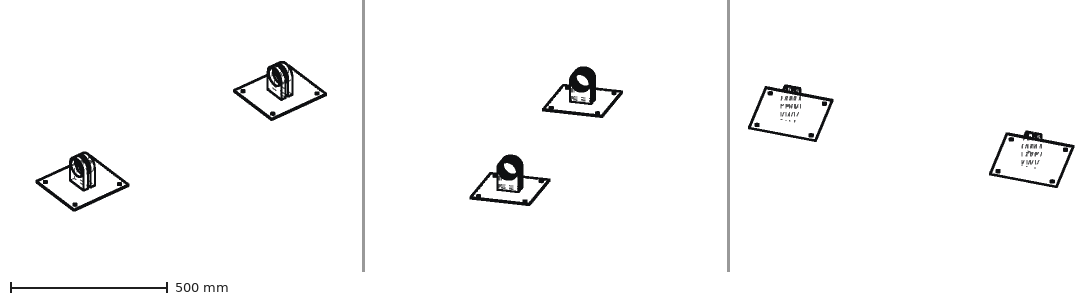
import cadquery as cq

overall_length = 1020.0
overall_height = 108.0

plate_width = 196.0
plate_length = 220.0
plate_thickness = 4.0

mount_hole_diameter = 10.0
mount_hole_inset = 20.0
mount_spacing_x = plate_width - 2 * mount_hole_inset
mount_spacing_y = plate_length - 2 * mount_hole_inset

lug_width = 70.0
lug_thickness = 17.0
lug_gap = 10.0
lug_pitch = lug_thickness + lug_gap
top_flat_width = 2.0
crown_radius = (lug_width - top_flat_width) / 2
bore_diameter = 60.0
bore_height = overall_height - lug_width / 2

bracket_offset = (overall_length - plate_length) / 2


def make_plate():
    """Flat base plate with its underside at Z = 0 and a hole near each corner."""
    plate = cq.Workplane("XY").box(plate_width, plate_length, plate_thickness, centered=(True, True, False))
    return (
        plate.faces(">Z")
        .workplane()
        .rect(mount_spacing_x, mount_spacing_y, forConstruction=True)
        .vertices()
        .hole(mount_hole_diameter)
    )


def make_lug(center_y):
    """Upright lug with rounded top corners and a bore along Y."""
    lug = (
        cq.Workplane("XY")
        .box(lug_width, lug_thickness, overall_height, centered=(True, True, False))
        .edges("|Y and >Z")
        .fillet(crown_radius)
    )
    bore = (
        cq.Workplane("XZ", origin=(0, lug_thickness / 2, 0))
        .center(0, bore_height)
        .circle(bore_diameter / 2)
        .extrude(lug_thickness)
    )
    return lug.cut(bore).translate((0, center_y, 0))


def make_bracket(center_y):
    """One bracket: a plate and two lugs joined as a single solid."""
    bracket = make_plate()
    for side in (-1, 1):
        bracket = bracket.union(make_lug(side * lug_pitch / 2))
    return bracket.translate((0, center_y, 0))


brackets = [make_bracket(end * bracket_offset) for end in (-1, 1)]

result = cq.Compound.makeCompound([bracket.val() for bracket in brackets])